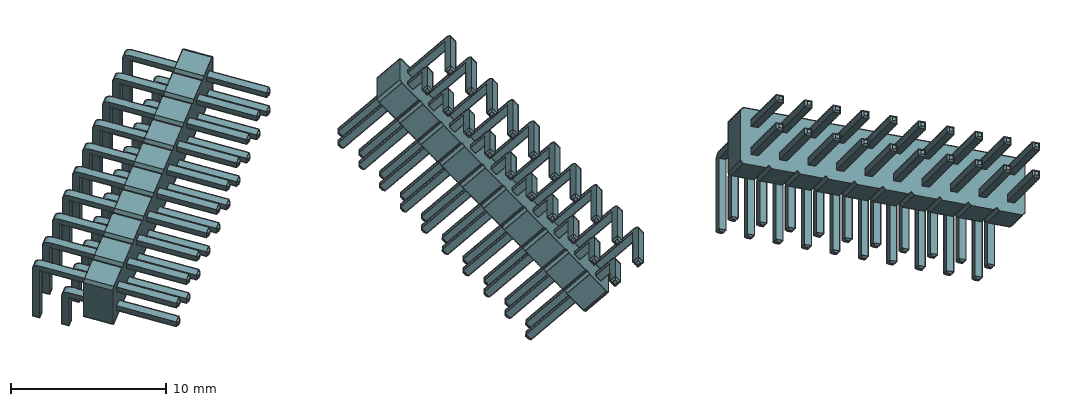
import cadquery as cq

pitch = 2.0
pins_per_row = 10
length = pitch * pins_per_row

bar_depth = 2.0
bar_height = 2 * pitch
notch_depth = 0.2

pin_width = 0.5
bend_radius = pin_width
overall_depth = 9.95
overall_height = 6.4
tail_setback = 3.75
tip_chamfer = pin_width / 4

bar_top = overall_height
bar_bottom = bar_top - bar_height
bar_middle = (bar_top + bar_bottom) / 2
pin_positions = [(i + 0.5) * pitch - length / 2 for i in range(pins_per_row)]


def make_bar():
    """Bar along Y with 90-degree V-notches between positions and matching half-notches at its ends."""
    bar = (
        cq.Workplane("XY", origin=(tail_setback, 0, bar_bottom))
        .box(bar_depth, length, bar_height, centered=(False, True, False))
    )
    for i in range(pins_per_row + 1):
        y = i * pitch - length / 2
        for face_z, inward in ((bar_top, -1), (bar_bottom, 1)):
            notch = (
                cq.Workplane("YZ", origin=(tail_setback, 0, 0))
                .moveTo(y - notch_depth, face_z)
                .lineTo(y, face_z + inward * notch_depth)
                .lineTo(y + notch_depth, face_z)
                .close()
                .extrude(bar_depth)
            )
            bar = bar.cut(notch)
    return bar


def make_leg(leg_length):
    """Square leg standing on Z = 0, with its lower end tapered to a blunt tip."""
    tip_width = pin_width - 2 * tip_chamfer
    shank = (
        cq.Workplane("XY", origin=(0, 0, tip_chamfer))
        .rect(pin_width, pin_width)
        .extrude(leg_length - tip_chamfer)
    )
    tip = (
        cq.Workplane("XY")
        .rect(tip_width, tip_width)
        .workplane(offset=tip_chamfer)
        .rect(pin_width, pin_width)
        .loft(ruled=True)
    )
    return shank.union(tip)


def make_pin(outer_x, axis_z):
    """Bent pin centred on Y = 0: a tail down to Z = 0 and an arm out to the full depth."""
    axis_x = outer_x + pin_width / 2
    top_z = axis_z + pin_width / 2
    tail = make_leg(top_z).translate((axis_x, 0, 0))
    arm = make_leg(overall_depth - outer_x).rotate((0, 0, 0), (0, 1, 0), -90)
    arm = arm.translate((overall_depth, 0, axis_z))
    bend_corner = cq.selectors.NearestToPointSelector((outer_x, 0, top_z))
    return tail.union(arm).edges(bend_corner).fillet(bend_radius)


upper_pin = make_pin(0, bar_middle + pitch / 2)
lower_pin = make_pin(pitch, bar_middle - pitch / 2)

result = make_bar()
for pin_y in pin_positions:
    for pin in (upper_pin, lower_pin):
        result = result.union(pin.translate((0, pin_y, 0)))